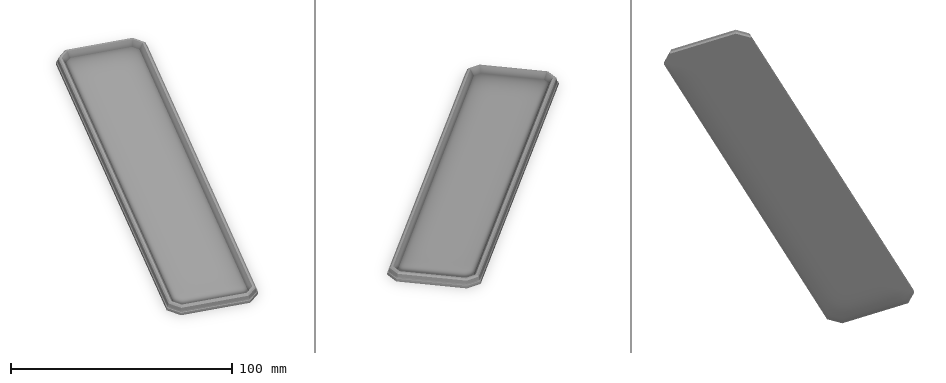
import cadquery as cq
import math

length = 193.0
width = 43.0
height = 4.0
corner_cut = 5.2

flange_edge_height = 0.5
flange_height = 1.4
wall_foot_height = 2.0
rim_break_height = 0.5
floor_height = 1.2

flange_top_inset = 0.1
wall_foot_inset = 0.5
wall_inset = 0.8
wall_top_inset = 1.0
rim_outer_inset = 1.5
rim_inner_inset = 2.5
floor_inset = 4.2


def octagon(inset, z):
    """Wire of the outer outline moved inward evenly by inset, at height z."""
    half_x = length / 2 - inset
    half_y = width / 2 - inset
    cut = corner_cut - inset * (2 - math.sqrt(2))
    points = [
        (half_x, half_y - cut),
        (half_x - cut, half_y),
        (cut - half_x, half_y),
        (-half_x, half_y - cut),
        (-half_x, cut - half_y),
        (cut - half_x, -half_y),
        (half_x - cut, -half_y),
        (half_x, cut - half_y),
    ]
    return cq.Wire.makePolygon([cq.Vector(x, y, z) for x, y in points], close=True)


def layer(bottom_inset, bottom_z, top_inset, top_z):
    """Solid with flat sloping sides between two inset outlines."""
    wires = [octagon(bottom_inset, bottom_z), octagon(top_inset, top_z)]
    return cq.Workplane(cq.Solid.makeLoft(wires, True))


rim_bevel_z = height - rim_break_height

flange_edge = layer(0, 0, 0, flange_edge_height)
flange_top = layer(0, flange_edge_height, flange_top_inset, flange_height)
wall_foot = layer(wall_foot_inset, flange_height, wall_inset, wall_foot_height)
wall = layer(wall_inset, wall_foot_height, wall_top_inset, rim_bevel_z)
rim_bevel = layer(wall_top_inset, rim_bevel_z, rim_outer_inset, height)
tray_pocket = layer(floor_inset, floor_height, rim_inner_inset, height)

tray_body = flange_edge.union(flange_top).union(wall_foot).union(wall).union(rim_bevel)
result = tray_body.cut(tray_pocket)